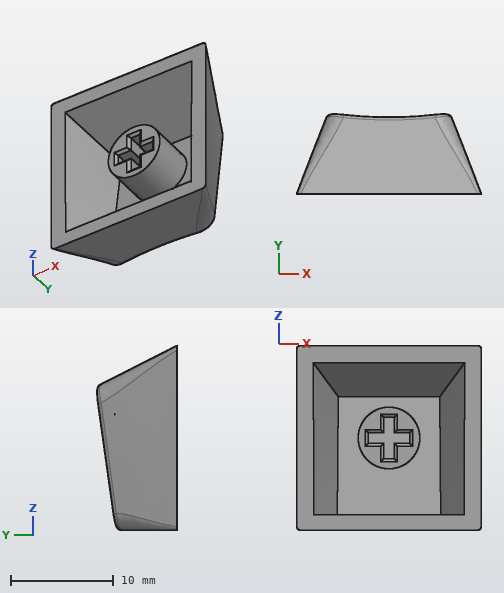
import cadquery as cq
import math


BASE_SIZE = 18.0
TOP_TILT = 8.0
RIM_HEIGHT = 7.4
TOP_HALF_WIDTH = 5.95
TOP_UPPER_Z = 4.9
DISH_RADIUS = 37.0
DISH_FLOOR_HEIGHT = 6.81
BASE_CORNER_RADIUS = 0.4
TOP_CORNER_RADIUS = 1.83
RIM_FILLET = 0.5

OPENING_HALF_WIDTH_UPPER = 7.37
OPENING_HALF_WIDTH_LOWER = 7.31
OPENING_UPPER_Z = 7.33
CAVITY_LOWER_Z = -7.48
FLOOR_HALF_WIDTH_UPPER = 4.94
FLOOR_HALF_WIDTH_LOWER = 5.03
FLOOR_UPPER_Z = 4.02
FLOOR_HEIGHT = 5.74

STEM_DIAMETER = 6.0
STEM_START_Y = 1.0
CROSS_ARMS = 4
CROSS_LENGTH = 4.0
CROSS_WIDTH = 1.0
LEAD_IN_OFFSET = 0.32
LEAD_IN_DEPTH = 0.25
STEM_REACH = FLOOR_HEIGHT

SLOPE = math.tan(math.radians(TOP_TILT))
HALF_BASE = BASE_SIZE / 2
BASE_TOLERANCE = 0.01


def section(lower_half_width, upper_half_width, lower_z, upper_z, height, slope):
    """Trapezoid wire in the plane Y = height + slope * Z."""
    lower_y = height + slope * lower_z
    upper_y = height + slope * upper_z
    corners = [
        (-lower_half_width, lower_y, lower_z),
        (lower_half_width, lower_y, lower_z),
        (upper_half_width, upper_y, upper_z),
        (-upper_half_width, upper_y, upper_z),
    ]
    return cq.Wire.makePolygon([cq.Vector(*corner) for corner in corners], close=True)


def ruled_loft(start, end):
    return cq.Workplane(obj=cq.Solid.makeLoft([start, end], True))


def dish_cutter():
    """Cylinder lying along the tilted top, tangent to the dish centre line."""
    tilt = math.radians(TOP_TILT)
    axis = cq.Vector(0, math.sin(tilt), math.cos(tilt))
    outward = cq.Vector(0, math.cos(tilt), -math.sin(tilt))
    centre = cq.Vector(0, DISH_FLOOR_HEIGHT, 0) + outward * DISH_RADIUS
    start = centre - axis * BASE_SIZE
    return cq.Workplane(obj=cq.Solid.makeCylinder(DISH_RADIUS, 2 * BASE_SIZE, start, axis))


def corner_edges(solid):
    """Edges that run from the base plane up to the dish."""
    edges = []
    for edge in solid.Edges():
        low_end, high_end = sorted((edge.startPoint().y, edge.endPoint().y))
        if low_end < BASE_TOLERANCE < high_end:
            edges.append(edge)
    return edges


def round_corners(body):
    """Round the four corner edges with a radius that grows from base to top."""
    solid = body.val()
    fillet = cq.occ_impl.shapes.BRepFilletAPI_MakeFillet(solid.wrapped)
    for edge in corner_edges(solid):
        if edge.startPoint().y < edge.endPoint().y:
            fillet.Add(BASE_CORNER_RADIUS, TOP_CORNER_RADIUS, edge.wrapped)
        else:
            fillet.Add(TOP_CORNER_RADIUS, BASE_CORNER_RADIUS, edge.wrapped)
    return cq.Workplane(obj=cq.Shape.cast(fillet.Shape()))


def outer_body():
    base = section(HALF_BASE, HALF_BASE, -HALF_BASE, HALF_BASE, 0, 0)
    top = section(TOP_HALF_WIDTH, TOP_HALF_WIDTH, -HALF_BASE, TOP_UPPER_Z, RIM_HEIGHT, SLOPE)
    body = round_corners(ruled_loft(base, top).cut(dish_cutter()))
    dish = body.faces(cq.selectors.NearestToPointSelector((0, DISH_FLOOR_HEIGHT, 0)))
    return dish.edges().fillet(RIM_FILLET)


def cavity():
    opening = section(
        OPENING_HALF_WIDTH_LOWER, OPENING_HALF_WIDTH_UPPER, CAVITY_LOWER_Z, OPENING_UPPER_Z, 0, 0
    )
    floor = section(
        FLOOR_HALF_WIDTH_LOWER, FLOOR_HALF_WIDTH_UPPER, CAVITY_LOWER_Z, FLOOR_UPPER_Z, FLOOR_HEIGHT, SLOPE
    )
    return ruled_loft(opening, floor)


def cross_outline(offset):
    """Cross wire in the stem face, grown outward by the offset."""
    tip = CROSS_LENGTH / 2 + offset
    side = CROSS_WIDTH / 2 + offset
    arm = [(side, side), (tip, side), (tip, -side)]
    points = []
    for turn in range(CROSS_ARMS):
        angle = 2 * math.pi * turn / CROSS_ARMS
        for u, v in arm:
            x = u * math.cos(angle) + v * math.sin(angle)
            z = v * math.cos(angle) - u * math.sin(angle)
            points.append(cq.Vector(x, STEM_START_Y, z))
    return cq.Wire.makePolygon(points, close=True)


def stem_socket():
    inner = cross_outline(0).moved(cq.Location(cq.Vector(0, LEAD_IN_DEPTH, 0)))
    lead_in = ruled_loft(cross_outline(LEAD_IN_OFFSET), inner)
    shaft = cq.Solid.extrudeLinear(inner, [], cq.Vector(0, STEM_REACH, 0))
    return lead_in.union(cq.Workplane(obj=shaft))


def stem():
    start = cq.Vector(0, STEM_START_Y, 0)
    cylinder = cq.Solid.makeCylinder(STEM_DIAMETER / 2, STEM_REACH, start, cq.Vector(0, 1, 0))
    return cq.Workplane(obj=cylinder).cut(stem_socket())


hollow = cavity().cut(stem())
result = outer_body().cut(hollow)